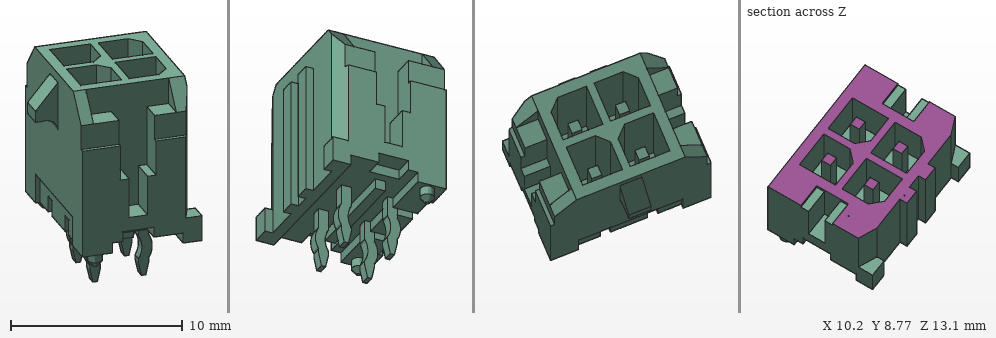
import cadquery as cq


width = 10.15
depth = 6.89
height = 9.9
half_width = width / 2
upper_half_width = 4.82
step_z = 6.75
top_half_width = 3.43
shoulder_z = 8.27

front_shoulder_wall = 0.77
rear_shoulder_wall = 1.0
wide_channel_front = 2.34
wide_channel_rear = 4.54
wide_channel_floor = 4.58
narrow_channel_front = 2.88
narrow_channel_rear = 4.02
narrow_channel_floor = 2.12

rear_y = 7.38
corner_cut_x = 3.87
corner_cut_depth = 0.51
foot_height = 1.58
rib_inner_x = 0.46
rib_outer_x = 1.48
rib_top = 8.33

channel_front = 1.86
channel_rear = 6.22
channel_height = 0.64
bar_front = 3.1
bar_rear = 3.76
notch_front = 2.49
notch_rear = 4.41
notch_top = 1.27
notch_depth = half_width - corner_cut_x

recess_half_width = 3.3
recess_top = 1.83
recess_depth = 0.27
slot_top = 1.0

pitch = 3.0
front_row_y = 1.91
pin_size = 0.64
cavity_size = 2.51
cavity_offset_y = 0.04
cavity_chamfer = 0.68
cavity_floor = narrow_channel_floor
pin_top = 7.33
bend_start_z = -0.64
bend_end_z = -2.11
bend_offset = 0.21
taper_z = -2.38
pin_bottom = -3.2
tip_width = 0.27

peg_x = 4.5
peg_y = 0.97
peg_radius = 0.43
peg_tip_radius = 0.13
peg_taper_z = -0.55
peg_bottom = -0.9

latch_width = 1.4
latch_reach = 1.39
latch_top = 9.32
latch_nose_top = 7.68
latch_nose_bottom = 6.98
latch_arc_start = 0.98
latch_arc_mid_reach = 0.38
latch_arc_mid_z = 6.89
latch_root_z = 6.31


def box(x0, x1, y0, y1, z0, z1):
    """Axis-aligned block between opposite corners."""
    return cq.Workplane("XY").box(x1 - x0, y1 - y0, z1 - z0, centered=False).translate((x0, y0, z0))


def both_sides(shape):
    """Shape together with its mirror image across X = 0."""
    return shape.union(shape.mirror("YZ"))


def housing_block():
    half_outline = [
        (0, 0),
        (half_width, 0),
        (half_width, step_z),
        (upper_half_width, step_z),
        (upper_half_width, shoulder_z),
        (top_half_width, height),
        (0, height),
    ]
    half = cq.Workplane("XZ").polyline(half_outline).close().extrude(-depth)
    return both_sides(half)


def rear_corner_cuts():
    """Oblique cuts down the rear vertical corners, stopping above the feet."""
    corner = [
        (corner_cut_x, depth),
        (half_width, depth),
        (half_width, depth - corner_cut_depth),
    ]
    cut = cq.Workplane("XY").workplane(offset=foot_height).polyline(corner).close().extrude(height)
    return both_sides(cut)


def side_channels():
    """Pockets behind the shoulders, and a stepped vertical channel in each side."""
    shoulder_rear = depth - rear_shoulder_wall
    pocket = box(top_half_width, half_width, front_shoulder_wall, shoulder_rear, shoulder_z, height)
    wide = box(
        top_half_width, half_width, wide_channel_front, wide_channel_rear, wide_channel_floor, height
    )
    narrow = box(
        top_half_width, half_width, narrow_channel_front, narrow_channel_rear, narrow_channel_floor, height
    )
    return both_sides(pocket.union(wide).union(narrow))


def feet_and_ribs():
    foot = box(corner_cut_x, half_width, channel_rear, rear_y, 0, foot_height)
    rib = box(rib_inner_x, rib_outer_x, channel_rear, rear_y, 0, rib_top)
    return both_sides(foot.union(rib))


def underside_channel():
    """Cross channel with a notch in each side wall and a bar left standing along the middle."""
    channel = box(-half_width, half_width, channel_front, channel_rear, 0, channel_height)
    bar = box(-recess_half_width, recess_half_width, bar_front, bar_rear, 0, channel_height)
    notch = box(half_width - notch_depth, half_width, notch_front, notch_rear, 0, notch_top)
    return channel.cut(bar).union(both_sides(notch))


def front_recess():
    """Shallow recess in the front wall with a slot in front of each front pin."""
    recess = box(-recess_half_width, recess_half_width, 0, recess_depth, 0, recess_top)
    slot_left = (pitch - pin_size) / 2
    slot = box(slot_left, slot_left + pin_size, 0, front_row_y, 0, slot_top)
    return recess.union(both_sides(slot))


def cavity(x, y, chamfer_side):
    """Square cavity with its rear corner cut on the chosen side: -1 left, +1 right."""
    half = cavity_size / 2
    outline = [
        (-half * chamfer_side, -half),
        (half * chamfer_side, -half),
        (half * chamfer_side, half - cavity_chamfer),
        ((half - cavity_chamfer) * chamfer_side, half),
        (-half * chamfer_side, half),
    ]
    shape = cq.Workplane("XY").polyline(outline).close().extrude(height - cavity_floor)
    return shape.translate((x, y, cavity_floor))


def pin(x, y, bend_side):
    """Straight contact whose tail bows towards bend_side along Y and ends in a tapered tip."""
    half = pin_size / 2
    bow = bend_offset * bend_side
    bend_mid_z = (bend_start_z + bend_end_z) / 2
    shape = (
        cq.Workplane("YZ")
        .moveTo(-half, pin_top)
        .lineTo(-half, bend_start_z)
        .threePointArc((bow - half, bend_mid_z), (-half, bend_end_z))
        .lineTo(-half, taper_z)
        .lineTo(-tip_width / 2, pin_bottom)
        .lineTo(tip_width / 2, pin_bottom)
        .lineTo(half, taper_z)
        .lineTo(half, bend_end_z)
        .threePointArc((bow + half, bend_mid_z), (half, bend_start_z))
        .lineTo(half, pin_top)
        .close()
        .extrude(half, both=True)
    )
    return shape.translate((x, y, 0))


def pegs():
    profile = [
        (0, foot_height),
        (peg_radius, foot_height),
        (peg_radius, peg_taper_z),
        (peg_tip_radius, peg_bottom),
        (0, peg_bottom),
    ]
    peg = cq.Workplane("XZ").polyline(profile).close().revolve(360, (0, 0, 0), (0, 1, 0))
    return both_sides(peg.translate((peg_x, peg_y, 0)))


def latch():
    """Ramped hook on the front wall with a concave underside; its root is buried in the wall."""
    return (
        cq.Workplane("YZ")
        .moveTo(recess_depth, latch_top)
        .lineTo(0, latch_top)
        .lineTo(-latch_reach, latch_nose_top)
        .lineTo(-latch_reach, latch_nose_bottom)
        .lineTo(-latch_arc_start, latch_nose_bottom)
        .threePointArc((-latch_arc_mid_reach, latch_arc_mid_z), (0, latch_root_z))
        .lineTo(recess_depth, latch_root_z)
        .close()
        .extrude(latch_width / 2, both=True)
    )


result = (
    housing_block()
    .cut(rear_corner_cuts())
    .cut(side_channels())
    .union(feet_and_ribs())
    .cut(underside_channel())
    .cut(front_recess())
    .union(pegs())
    .union(latch())
)

rear_row_y = front_row_y + pitch
for side in (-1, 1):
    column_x = side * pitch / 2
    result = result.cut(cavity(column_x, front_row_y + cavity_offset_y, -side))
    result = result.cut(cavity(column_x, rear_row_y + cavity_offset_y, side))
    result = result.union(pin(column_x, front_row_y, -1))
    result = result.union(pin(column_x, rear_row_y, 1))